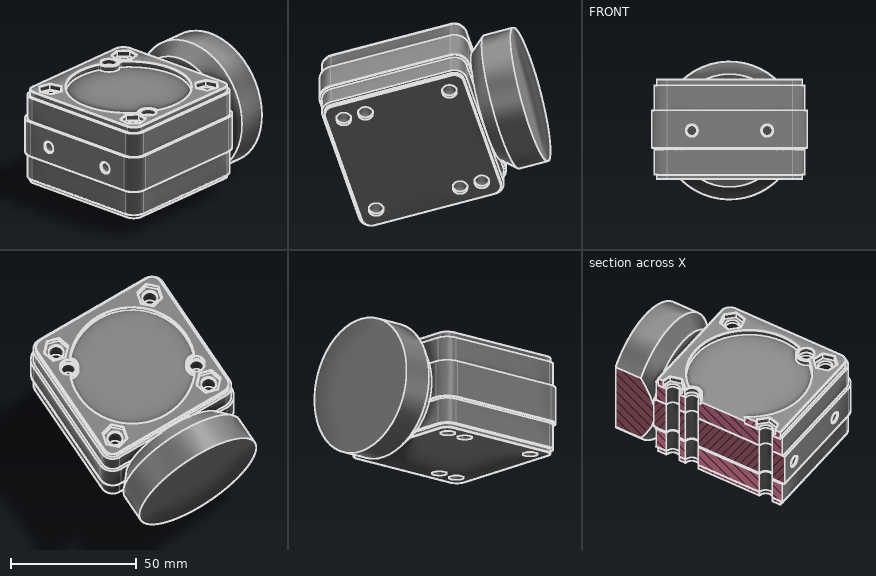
import cadquery as cq
import math

TOP_LID_TOP = 20.5
UPPER_BODY_TOP = 18.0
TOP_LID_BOTTOM = 16.5
FRAME_TOP = 8.0
FRAME_BOTTOM = -7.0
LOWER_BODY_TOP = -7.5
LOWER_BODY_BOTTOM = -17.5
BOTTOM_LID_BOTTOM = -19.4

FRAME_SIDE = 62.0
BODY_SIDE = 60.0
LID_SIDE = 58.0
CORNER_CENTRE = 25.0
EDGE_CHAMFER = 0.2

SCREW_PITCH = 44.0
SCREW_HOLE_DIA = 6.0
DOWEL_Y = 13.0
DOWEL_HOLE_DIA = 6.0
DOWEL_MOUTH_DIA = 6.3

NUT_FLATS = 8.5
NUT_CORNERS = NUT_FLATS / math.cos(math.pi / 6)
NUT_POCKET_DEPTH = TOP_LID_TOP - UPPER_BODY_TOP
HALF_HEX_SECTOR = 30

WINDOW_DIA = 50.0
LUG_DIA = 8.5
LUG_CORNER_FILLET = 0.6

SPIGOT_DIA = 40.2

SIDE_HOLE_PITCH = 30.0
SIDE_HOLE_DIA = 4.2
SIDE_HOLE_MOUTH_DIA = 5.0
SIDE_HOLE_MOUTH_ANGLE = 90
SIDE_HOLE_DEPTH = 12.0

WHEEL_DIA = 55.0
WHEEL_NECK_DIA = 45.0
WHEEL_CONE_LENGTH = 6.0
WHEEL_LENGTH = 18.0

SCREW_X = SCREW_PITCH / 2
SCREW_POINTS = [(x, y) for x in (-SCREW_X, SCREW_X) for y in (-SCREW_X, SCREW_X)]
DOWEL_POINTS = [(-SCREW_X, DOWEL_Y), (SCREW_X, -DOWEL_Y)]


def plane_at(z):
    """Horizontal workplane at height z, centred on the stack."""
    return cq.Workplane("XY", origin=(0, 0, z))


def slab(side, bottom, top):
    """Square slab with rounded corners."""
    blank = plane_at(bottom).rect(side, side).extrude(top - bottom)
    return blank.edges("|Z").fillet(side / 2 - CORNER_CENTRE)


def posts(points, dia, bottom, top):
    """Upright cylinders between two levels."""
    return plane_at(bottom).pushPoints(points).circle(dia / 2).extrude(top - bottom)


def drill(body, bottom, top):
    """Cut the four screw holes and two dowel holes between two levels."""
    screws = posts(SCREW_POINTS, SCREW_HOLE_DIA, bottom, top)
    dowels = posts(DOWEL_POINTS, DOWEL_HOLE_DIA, bottom, top)
    return body.cut(screws).cut(dowels)


def lid_window():
    """Cutter for the round window, notched by the lugs around the dowel holes."""
    lugs = posts(DOWEL_POINTS, LUG_DIA, TOP_LID_BOTTOM, TOP_LID_TOP)
    disc = posts([(0, 0)], WINDOW_DIA, TOP_LID_BOTTOM, TOP_LID_TOP)
    return disc.cut(lugs).edges("|Z").fillet(LUG_CORNER_FILLET)


def nut_pocket(x, y):
    """Hexagonal cutter with a flat facing the nearest corner of the lid."""
    corner_angle = math.degrees(math.atan2(y, x))
    hexagon = plane_at(TOP_LID_TOP - NUT_POCKET_DEPTH).polygon(6, NUT_CORNERS).extrude(NUT_POCKET_DEPTH)
    return hexagon.rotate((0, 0, 0), (0, 0, 1), corner_angle + HALF_HEX_SECTOR).translate((x, y, 0))


def lid_blank():
    """Top lid before its pockets, holes and chamfers are cut."""
    return slab(LID_SIDE, TOP_LID_BOTTOM, TOP_LID_TOP).cut(lid_window())


def make_top_lid():
    """Lid sunk into the upper body, with chamfered upper edges and widened dowel holes."""
    lid = lid_blank()
    for x, y in SCREW_POINTS:
        lid = lid.cut(nut_pocket(x, y))
    lid = drill(lid, TOP_LID_BOTTOM, TOP_LID_TOP)
    lid = lid.cut(posts(DOWEL_POINTS, DOWEL_MOUTH_DIA, UPPER_BODY_TOP, TOP_LID_TOP))
    return lid.faces(">Z").edges().chamfer(EDGE_CHAMFER)


def make_upper_body():
    """Body with a recess that holds the top lid around a raised round pad."""
    body = slab(BODY_SIDE, FRAME_TOP, UPPER_BODY_TOP).cut(lid_blank())
    return drill(body, FRAME_TOP, UPPER_BODY_TOP)


def make_frame():
    """Widest layer, with a chamfered lower edge and two countersunk blind holes."""
    frame = slab(FRAME_SIDE, FRAME_BOTTOM, FRAME_TOP)
    frame = frame.faces("<Z").edges().chamfer(EDGE_CHAMFER)
    frame = drill(frame, FRAME_BOTTOM, FRAME_TOP)
    side_points = [(-SIDE_HOLE_PITCH / 2, 0), (SIDE_HOLE_PITCH / 2, 0)]
    front = frame.faces("<Y").workplane(origin=(0, 0, 0)).pushPoints(side_points)
    return front.cskHole(SIDE_HOLE_DIA, SIDE_HOLE_MOUTH_DIA, SIDE_HOLE_MOUTH_ANGLE, SIDE_HOLE_DEPTH)


def make_lower_body():
    """Body carried below the frame by a short round spigot."""
    body = slab(BODY_SIDE, LOWER_BODY_BOTTOM, LOWER_BODY_TOP)
    spigot = posts([(0, 0)], SPIGOT_DIA, LOWER_BODY_TOP, FRAME_BOTTOM)
    return drill(body.union(spigot), LOWER_BODY_BOTTOM, FRAME_BOTTOM)


def make_bottom_lid():
    """Plain lid with chamfered upper and lower outer edges."""
    lid = slab(LID_SIDE, BOTTOM_LID_BOTTOM, LOWER_BODY_BOTTOM)
    lid = lid.faces("<Z or >Z").edges().chamfer(EDGE_CHAMFER)
    return drill(lid, BOTTOM_LID_BOTTOM, LOWER_BODY_BOTTOM)


def make_wheel():
    """Solid wheel along Y that widens in a cone from the frame."""
    neck_y = FRAME_SIDE / 2
    profile = (
        cq.Workplane("XY")
        .moveTo(0, neck_y)
        .lineTo(WHEEL_NECK_DIA / 2, neck_y)
        .lineTo(WHEEL_DIA / 2, neck_y + WHEEL_CONE_LENGTH)
        .lineTo(WHEEL_DIA / 2, neck_y + WHEEL_LENGTH)
        .lineTo(0, neck_y + WHEEL_LENGTH)
        .close()
    )
    return profile.revolve(360, (0, 0, 0), (0, 1, 0))


top_lid = make_top_lid()
upper_body = make_upper_body()
frame = make_frame()
lower_body = make_lower_body()
bottom_lid = make_bottom_lid()
wheel = make_wheel()

result = cq.Compound.makeCompound([
    top_lid.solids().val(),
    upper_body.solids().val(),
    frame.solids().val(),
    lower_body.solids().val(),
    bottom_lid.solids().val(),
    wheel.solids().val(),
])